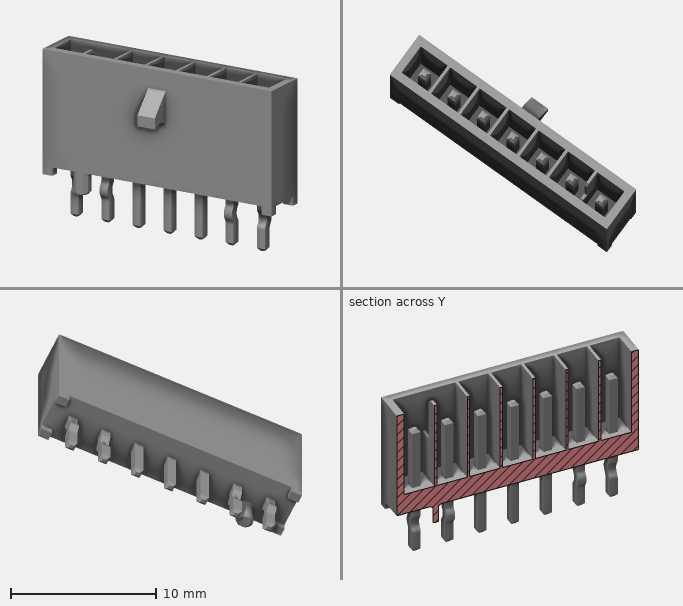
import cadquery as cq
import math

LENGTH = 18.44
DEPTH = 3.45
HEIGHT = 8.45

FOOT_LENGTH = 0.8
FOOT_DEPTH = 0.6
FOOT_HEIGHT = 0.6

CELL_COUNT = 7
END_MARGIN = 1.71
PITCH = (LENGTH - 2 * END_MARGIN) / (CELL_COUNT - 1)
CELL_LENGTH = 2.29
CELL_DEPTH = 2.25
FLOOR = 1.66
CELL_HEIGHT = HEIGHT - FLOOR

PARTITION = PITCH - CELL_LENGTH
PARTITION_DROP = 3.32
PARTITION_CHAMFER = 0.24

PIN_SIZE = 0.65
PIN_TOP = HEIGHT - 2.03
PIN_BOTTOM = -3.82
TIP_SIZE = 0.25
TIP_HEIGHT = 0.22

KINK_TOP = -0.72
KINK_LENGTH = 1.51
KINK_OFFSET = 0.25
KINK_BEND_RADIUS = 0.46
KINKS = {0: 1, 1: -1, CELL_COUNT - 2: -1, CELL_COUNT - 1: 1}

PEG_RADIUS = 0.63
PEG_HEIGHT = 1.62
PEG_REACH = 1.05
PEG_CHAMFER = 0.22
PEG_FLARE = 0.17
PEG_FACE_WIDTH = 0.55
PEG_FLAT_DEPTH = 0.2

LATCH_WIDTH = 1.4
LATCH_REACH = 1.44
LATCH_TOP = 1.4
LATCH_NOSE_TOP = 2.99
LATCH_NOSE_BOTTOM = 3.78
LATCH_ROOT = 4.17
LATCH_HOLLOW_RADIUS = 0.65

FRONT = -DEPTH / 2


def pin_x(index):
    return (index - (CELL_COUNT - 1) / 2) * PITCH


def block(x, y, z, length, depth, height):
    """Box centred on x and y, standing on z."""
    return cq.Workplane("XY").box(length, depth, height, centered=(True, True, False)).translate((x, y, z))


def make_housing():
    housing = block(0, 0, 0, LENGTH, DEPTH, HEIGHT)
    for side in (-1, 1):
        for face in (-1, 1):
            foot_x = side * (LENGTH - FOOT_LENGTH) / 2
            foot_y = face * (DEPTH - FOOT_DEPTH) / 2
            foot = block(foot_x, foot_y, -FOOT_HEIGHT, FOOT_LENGTH, FOOT_DEPTH, FOOT_HEIGHT)
            housing = housing.union(foot)
    for index in range(CELL_COUNT):
        housing = housing.cut(block(pin_x(index), 0, FLOOR, CELL_LENGTH, CELL_DEPTH, CELL_HEIGHT))
    return housing


def make_partition_gap():
    """Removes the upper rear half of the first partition and bevels the half that stays."""
    half_chamfer = PARTITION_CHAMFER / 2
    left = pin_x(0) + CELL_LENGTH / 2
    return (
        cq.Workplane("YZ", origin=(left, 0, 0))
        .moveTo(-half_chamfer, HEIGHT)
        .lineTo(half_chamfer, HEIGHT - PARTITION_CHAMFER)
        .lineTo(half_chamfer, HEIGHT - PARTITION_DROP)
        .lineTo(CELL_DEPTH / 2, HEIGHT - PARTITION_DROP)
        .lineTo(CELL_DEPTH / 2, HEIGHT)
        .close()
        .extrude(PARTITION)
    )


def make_tip(z, direction):
    """Tapered pin end that starts at z and points up (1) or down (-1)."""
    return (
        cq.Workplane("XY", origin=(0, 0, z))
        .rect(PIN_SIZE, PIN_SIZE)
        .workplane(offset=direction * TIP_HEIGHT)
        .rect(TIP_SIZE, TIP_SIZE)
        .loft(ruled=True)
    )


def make_kink(direction):
    """Kinked stretch of a pin: a crest arc between two reverse bends, all tangent."""
    half_length = KINK_LENGTH / 2
    bend_angle = 2 * math.atan(KINK_OFFSET / half_length)
    middle = KINK_TOP - half_length
    front = -PIN_SIZE / 2
    rear = PIN_SIZE / 2

    def on_bend(face, angle, end):
        """Point on a reverse bend of a face, at the upper (1) or lower (-1) end of the kink."""
        y = face + direction * KINK_BEND_RADIUS * (1 - math.cos(angle))
        return (y, middle + end * (half_length - KINK_BEND_RADIUS * math.sin(angle)))

    def add_face(outline, face, start):
        """Runs along a face from the kink's upper (1) or lower (-1) end to the other one."""
        crest = (face + direction * KINK_OFFSET, middle)
        return (
            outline.threePointArc(on_bend(face, bend_angle / 2, start), on_bend(face, bend_angle, start))
            .threePointArc(crest, on_bend(face, bend_angle, -start))
            .threePointArc(on_bend(face, bend_angle / 2, -start), on_bend(face, 0, -start))
        )

    outline = cq.Workplane("YZ", origin=(-PIN_SIZE / 2, 0, 0)).moveTo(front, KINK_TOP)
    outline = add_face(outline, front, 1).lineTo(rear, KINK_TOP - KINK_LENGTH)
    return add_face(outline, rear, -1).close().extrude(PIN_SIZE)


def make_pin(kink_direction):
    """Square pin on the Z axis; a direction of 0 leaves it straight."""
    shank_top = PIN_TOP - TIP_HEIGHT
    shank_bottom = PIN_BOTTOM + TIP_HEIGHT
    pin = block(0, 0, shank_bottom, PIN_SIZE, PIN_SIZE, shank_top - shank_bottom)
    if kink_direction:
        pin = pin.cut(block(0, 0, KINK_TOP - KINK_LENGTH, PIN_SIZE, PIN_SIZE, KINK_LENGTH))
        pin = pin.union(make_kink(kink_direction))
    return pin.union(make_tip(shank_top, 1)).union(make_tip(shank_bottom, -1))


def make_peg():
    """Round peg with a flared root, trimmed by the front face and two slanted flats."""
    axis_y = FRONT + PEG_REACH - PEG_RADIUS
    axis_x = pin_x(0.5)
    flared_radius = PEG_RADIUS + PEG_FLARE
    turned = (
        cq.Workplane("YZ")
        .moveTo(0, 0)
        .lineTo(flared_radius, 0)
        .radiusArc((PEG_RADIUS, -PEG_FLARE), -PEG_FLARE)
        .lineTo(PEG_RADIUS, PEG_CHAMFER - PEG_HEIGHT)
        .lineTo(PEG_RADIUS - PEG_CHAMFER, -PEG_HEIGHT)
        .lineTo(0, -PEG_HEIGHT)
        .close()
        .revolve(360, (0, 0, 0), (0, 1, 0))
        .translate((axis_x, axis_y, 0))
    )
    half_face = PEG_FACE_WIDTH / 2
    flat_y = FRONT + PEG_FLAT_DEPTH
    flat_x = math.sqrt(PEG_RADIUS**2 - (axis_y - flat_y) ** 2)
    outside_x = 2 * PEG_RADIUS
    outside_y = FRONT + PEG_FLAT_DEPTH * (outside_x - half_face) / (flat_x - half_face)
    back_y = FRONT + 2 * PEG_REACH
    envelope = (
        cq.Workplane("XY")
        .polyline(
            [
                (-half_face, FRONT),
                (half_face, FRONT),
                (outside_x, outside_y),
                (outside_x, back_y),
                (-outside_x, back_y),
                (-outside_x, outside_y),
            ]
        )
        .close()
        .extrude(-PEG_HEIGHT)
        .translate((axis_x, 0, 0))
    )
    return turned.intersect(envelope)


def make_latch():
    """Ramp with a hooked nose; the hollow under it starts as an arc and runs out tangent to the nose."""
    radius = LATCH_HOLLOW_RADIUS
    centre_y = FRONT - radius
    centre_z = HEIGHT - LATCH_ROOT
    nose_y = FRONT - LATCH_REACH
    nose_z = HEIGHT - LATCH_NOSE_BOTTOM
    across = centre_y - nose_y
    rise = nose_z - centre_z
    tangent_angle = math.atan2(rise, across) + math.acos(radius / math.hypot(across, rise))
    mid_angle = (tangent_angle + math.pi) / 2

    def on_hollow(angle):
        return (centre_y - radius * math.cos(angle), centre_z + radius * math.sin(angle))

    return (
        cq.Workplane("YZ", origin=(-LATCH_WIDTH / 2, 0, 0))
        .moveTo(FRONT, HEIGHT - LATCH_TOP)
        .lineTo(nose_y, HEIGHT - LATCH_NOSE_TOP)
        .lineTo(nose_y, nose_z)
        .lineTo(*on_hollow(tangent_angle))
        .threePointArc(on_hollow(mid_angle), (FRONT, centre_z))
        .close()
        .extrude(LATCH_WIDTH)
    )


result = make_housing().cut(make_partition_gap()).union(make_peg()).union(make_latch())
for pin_index in range(CELL_COUNT):
    pin = make_pin(KINKS.get(pin_index, 0))
    result = result.union(pin.translate((pin_x(pin_index), 0, 0)))